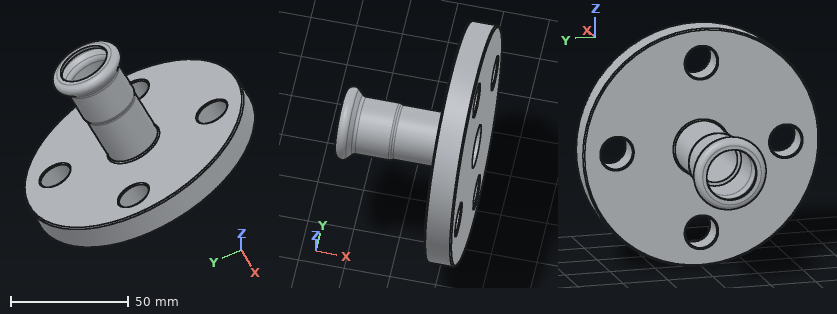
import cadquery as cq
import math


total_length = 59.0
flange_thickness = 11.9
flange_start = total_length - flange_thickness
step_start = 23.1
step_end = 25.0
step_middle = (step_start + step_end) / 2

flange_diameter = 105.0
flange_chamfer = 0.6
bolt_count = 4
bolt_circle_diameter = 75.0
bolt_hole_diameter = 14.1
bolt_hole_chamfer = 0.5

socket_radius = 25.0 / 2
tube_radius = 23.8 / 2
bore_radius = 18.8 / 2
wall = 1.42
socket_bore_radius = socket_radius - wall
bead_radius = 2.9
bead_center_radius = 13.0
neck_radius = 2.2
weld_size = 0.6

cone_angle = math.radians(45)
diagonal = math.cos(cone_angle)
cone_start_x = bead_radius * (1 + diagonal)
cone_start_radius = bead_center_radius + bead_radius * diagonal
neck_center_radius = socket_radius + neck_radius
neck_start_radius = neck_center_radius - neck_radius * diagonal
neck_start_x = cone_start_x + cone_start_radius - neck_start_radius
neck_end_x = neck_start_x + neck_radius * diagonal


def point_on_bead(offset, angle):
    """Point on the bead arc, moved inward by offset; zero degrees points along +X."""
    radius = bead_radius - offset
    return (
        bead_radius + radius * math.cos(angle),
        bead_center_radius + radius * math.sin(angle),
    )


def point_on_neck(offset, angle):
    """Point on the concave neck arc of a wall surface moved inward by offset."""
    radius = neck_radius + offset
    return (
        neck_end_x + radius * math.cos(angle),
        neck_center_radius + radius * math.sin(angle),
    )


def make_spigot():
    """Revolve the socket with its hollow bead, and the tube up to the flange."""
    bead_middle = math.radians(112.5)
    neck_start = math.radians(225)
    neck_middle = math.radians(247.5)
    neck_end = math.radians(270)
    profile = (
        cq.Workplane("XY")
        .moveTo(0, socket_bore_radius)
        .lineTo(0, bead_center_radius)
        .threePointArc(point_on_bead(0, bead_middle), point_on_bead(0, cone_angle))
        .lineTo(*point_on_neck(0, neck_start))
        .threePointArc(point_on_neck(0, neck_middle), point_on_neck(0, neck_end))
        .lineTo(step_start, socket_radius)
        .tangentArcPoint((step_middle, (socket_radius + tube_radius) / 2), relative=False)
        .tangentArcPoint((step_end, tube_radius), relative=False)
        .lineTo(flange_start - weld_size, tube_radius)
        .lineTo(flange_start, tube_radius + weld_size)
        .lineTo(flange_start, bore_radius)
        .lineTo(step_middle, bore_radius)
        .lineTo(step_middle, socket_bore_radius)
        .lineTo(*point_on_neck(wall, neck_end))
        .threePointArc(point_on_neck(wall, neck_middle), point_on_neck(wall, neck_start))
        .lineTo(*point_on_bead(wall, cone_angle))
        .threePointArc(point_on_bead(wall, bead_middle), (wall, bead_center_radius))
        .lineTo(wall, socket_bore_radius)
        .close()
    )
    return profile.revolve(360, (0, 0, 0), (1, 0, 0))


def make_flange():
    """Chamfered disc with a central bore and a ring of chamfered bolt holes."""
    disc = (
        cq.Workplane("YZ", origin=(flange_start, 0, 0))
        .circle(flange_diameter / 2)
        .extrude(flange_thickness)
        .edges()
        .chamfer(flange_chamfer)
    )
    bolt_holes = (
        cq.Workplane("YZ", origin=(flange_start, 0, 0))
        .polarArray(bolt_circle_diameter / 2, 0, 360, bolt_count)
        .circle(bolt_hole_diameter / 2)
        .extrude(flange_thickness)
    )
    drilled = disc.cut(bolt_holes)
    bolt_hole_rims = cq.selectors.RadiusNthSelector(0)
    drilled = drilled.edges("%CIRCLE").edges(bolt_hole_rims).chamfer(bolt_hole_chamfer)
    bore = (
        cq.Workplane("YZ", origin=(flange_start, 0, 0))
        .circle(bore_radius)
        .extrude(flange_thickness)
    )
    return drilled.cut(bore)


result = make_flange().union(make_spigot()).translate((-total_length / 2, 0, 0))